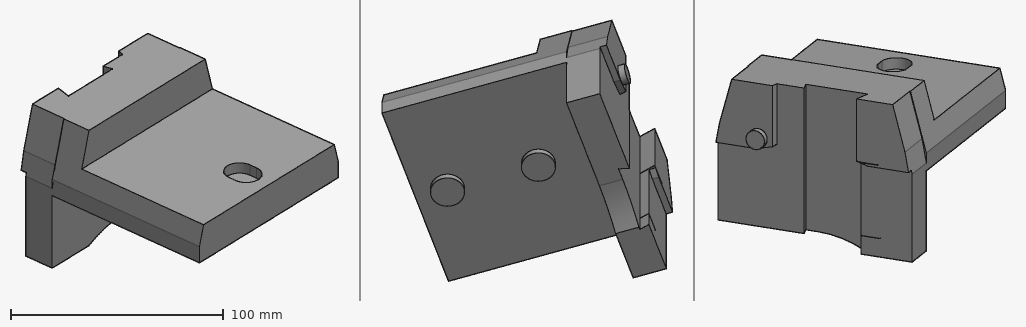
import cadquery as cq
import math

length = 114.2
width = 100.0
height = 79.0
half_width = width / 2
pin_height = 3.2
pad_height = 3.2

head_front = pin_height
apron_front = 6.4
slot_floor = 11.3
apron_back = 22.8
head_back = 38.6

plate_bottom = 40.2
plate_top = 60.0
rear_flank_start = 49.2
front_flank_start = 44.2
front_flank_bend = 56.1
lip_bottom = 46.0
apron_short_bottom = 5.8

rear_top_half = 41.8
front_top_half = 41.5
front_bend_half = 47.8

taper = math.tan(math.radians(15))
slot_left = 5.6
slot_right = -23.6
step_left = 19.7

lip_rise_start = 28.8

arc_radius = 53.7
arc_drop_width = math.sqrt(arc_radius**2 - (arc_radius - apron_short_bottom)**2)
arc_start = slot_right + arc_drop_width

slit_end = -33.6
upper_slit_z = 47.4
upper_slit_gap = 0.2
lower_slit_z = 9.4
lower_slit_gap = 0.1

pin_diameter = 9.5
pin_y = 27.9
pin_z = 51.5
pad_diameter = 16.0
pad_stations = (53.2, 98.3)
recess_center = 98.0
recess_length = 19.0
recess_width = 14.9
recess_depth = 5.7


def extrude_along_x(points, start, end):
    """Prism of a closed (Y, Z) outline between two X stations."""
    return cq.Workplane("YZ", origin=(start, 0, 0)).polyline(points).close().extrude(end - start)


def mirrored(points):
    """Close a half outline, listed from bottom to top, across the centre plane."""
    return points + [(-y, z) for y, z in reversed(points)]


def rear_body():
    flank = [(half_width, plate_bottom), (half_width, rear_flank_start), (rear_top_half, height)]
    body = extrude_along_x(mirrored(flank), apron_back, length)
    above_plate = cq.Workplane("XY").box(length, width, height, centered=(False, True, False))
    return body.cut(above_plate.translate((head_back, 0, plate_top)))


def front_head():
    flank = [
        (half_width, front_flank_start),
        (front_bend_half, front_flank_bend),
        (front_top_half, height),
    ]
    head = extrude_along_x(mirrored(flank), head_front, apron_back)
    rise = lip_rise_start * taper
    under_lip = [
        (-half_width, 0),
        (half_width, 0),
        (half_width, lip_bottom),
        (lip_rise_start, lip_bottom),
        (0, lip_bottom + rise),
        (-lip_rise_start, lip_bottom),
        (-half_width, lip_bottom),
    ]
    return head.cut(extrude_along_x(under_lip, head_front, apron_front))


def apron():
    half_angle = math.asin(arc_drop_width / arc_radius) / 2
    arc_middle = (
        arc_start - arc_radius * math.sin(half_angle),
        apron_short_bottom - arc_radius * (1 - math.cos(half_angle)),
    )
    outline = (
        cq.Workplane("YZ", origin=(apron_front, 0, 0))
        .moveTo(half_width, front_flank_start)
        .lineTo(half_width, apron_short_bottom)
        .lineTo(arc_start, apron_short_bottom)
        .threePointArc(arc_middle, (slot_right, 0))
        .lineTo(-half_width, 0)
        .lineTo(-half_width, front_flank_start)
        .close()
    )
    return outline.extrude(apron_back - apron_front)


def front_slots():
    lip = apron_front - head_front
    undercut = slot_floor - apron_front
    outline = [
        (head_front, step_left + lip * taper),
        (apron_front, step_left),
        (apron_front, slot_left),
        (slot_floor, slot_left + undercut * taper),
        (slot_floor, slot_right - undercut * taper),
        (head_front, slot_right + lip * taper),
    ]
    return cq.Workplane("XY").polyline(outline).close().extrude(height)


def slit(level, gap):
    """Thin horizontal cut, centred on a level, from the slot to its end inside the wall."""
    cut = cq.Workplane("XY").box(slot_floor - head_front, -slit_end, gap, centered=(False, False, True))
    return cut.translate((head_front, slit_end, level))


def locating_pin():
    pin = cq.Workplane("YZ").center(pin_y, pin_z).circle(pin_diameter / 2)
    return pin.extrude(apron_front)


def pads():
    points = [(x, 0) for x in pad_stations]
    base = cq.Workplane("XY", origin=(0, 0, plate_bottom - pad_height))
    return base.pushPoints(points).circle(pad_diameter / 2).extrude(pad_height)


def recess():
    top = cq.Workplane("XY", origin=(recess_center, 0, plate_top))
    return top.slot2D(recess_length, recess_width).extrude(-recess_depth)


body = rear_body().union(front_head()).union(apron()).cut(front_slots())
body = body.cut(slit(upper_slit_z, upper_slit_gap)).cut(slit(lower_slit_z, lower_slit_gap))
result = body.union(locating_pin()).union(pads()).cut(recess())